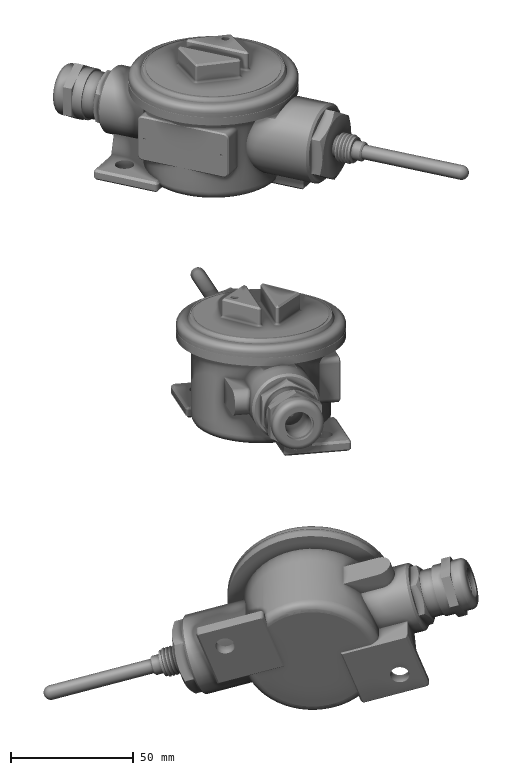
import cadquery as cq
import math


AXIS_Z = 23.5
COVER_SEAT_Z = 37.6
GLAND_FACE_X = -46.0
PLUG_FACE_X = 51.1

SHELL_R = 28.6
SHELL_TOP_CHAMFER = 0.5
SHELL_BOTTOM_Z = 0.5
SHELL_BOTTOM_FILLET = 3.7
GLAND_BOSS_D = 28.6
PROBE_BOSS_D = 33.5
BOSS_CHAMFER = 1.0
RELIEF_R = 35.5
RELIEF_Z = 35.8

FOOT_OUTER_X = 41.0
FOOT_INNER_X = 11.6
FOOT_DEPTH = 28.6
FOOT_THICKNESS = 4.6
FOOT_CORNER = 1.5
FOOT_CHAMFER = 1.0
FOOT_HOLE_D = 8.0
FOOT_HOLE_X = 31.4
FOOT_HOLE_Y = 18.6
RIB_TOP_WIDTH = 8.9
RIB_BASE_WIDTH = 11.8
RIB_START_Z = 1.8
RIB_TOP_Z = 14.8
RIB_FILLET = 0.7

PAD_WIDTH = 41.3
PAD_HEIGHT = 20.0
PAD_CORNER = 2.2
PAD_CHAMFER = 0.5
PAD_FACE_Y = -28.6
RIVET_HOLE_D = 1.07
RIVET_HOLE_DEPTH = 1.0
RIVET_HOLE_X = 17.5

LUG_D = 11.0
LUG_CENTRE_X = -34.9
LUG_LENGTH = 20.3

COVER_D = 69.5
COVER_TOP_Z = 45.7
COVER_FILLET = 2.5
COVER_GROOVE_Z = 41.7
COVER_GROOVE_WIDTH = 1.1
COVER_GROOVE_DEPTH = 0.2
DISC_BASE_R = 30.0
DISC_TOP_R = 29.1
DISC_TOP_Z = 47.5
DISC_GROOVE_OUTER_R = 28.8
DISC_GROOVE_INNER_R = 27.7
DISC_GROOVE_DEPTH = 0.4
GRIP_TOP_Z = 55.5
GRIP_HALF_WIDTH = 15.7
GRIP_INNER_Y = 3.0
GRIP_APEX_Y = 16.6
GRIP_CORNER = 1.0
GRIP_TOP_CHAMFER = 0.7
GRIP_FOOT_FILLET = 1.0
GRIP_HOLE_D = 3.3
GRIP_HOLE_Y = 11.0
GRIP_HOLE_DEPTH = 2.8

HEX_BEVEL_LENGTH = 1.3
HEX_FACE_INSET = 0.4

GLAND_TIP_X = -68.6
CAP_D = 21.5
CAP_FILLET = 2.4
GLAND_HEX_FLATS = 21.8
CAP_HEX_START_X = -63.0
CAP_HEX_END_X = -59.2
CAP_END_X = -55.0
GLAND_NECK_D = 20.0
BODY_HEX_START_X = -49.6
MOUTH_D = 12.4
MOUTH_DEPTH = 1.8
BORE_D = 11.0
BORE_DEPTH = 16.6
DOME_HEIGHT = 1.8
DOME_HOLE_D = 2.4
DOME_HOLE_DEPTH = 1.8

PLUG_FLATS = 27.0
PLUG_LENGTH = 5.2

PROBE_NECK_D = 9.6
RIDGE_START_X = 57.5
RIDGE_END_X = 63.6
RIDGE_COUNT = 4
RIDGE_D = 12.2
RIDGE_ROOT_D = 10.7
COLLAR_D = 11.0
COLLAR_END_X = 64.5
SLEEVE_D = 8.1
SLEEVE_END_X = 68.8
SLEEVE_CHAMFER = 0.5
PROBE_D = 6.0
PROBE_TIP_X = 115.8


def x_cylinder(start_x, end_x, diameter):
    """Cylinder on the gland and probe axis."""
    plane = cq.Workplane("YZ", origin=(start_x, 0, AXIS_Z))
    return plane.circle(diameter / 2).extrude(end_x - start_x)


def x_hexagon(start_x, end_x, across_flats):
    """Hexagonal prism on the same axis, with corners at the top and bottom."""
    corner_d = across_flats / math.cos(math.pi / 6)
    plane = cq.Workplane("YZ", origin=(start_x, 0, AXIS_Z))
    hexagon = plane.polygon(6, corner_d).extrude(end_x - start_x)
    return hexagon.rotate((0, 0, AXIS_Z), (1, 0, AXIS_Z), 30)


def bevelled_hexagon(start_x, end_x, across_flats, at_start):
    """Hexagonal prism whose corners are turned off to a cone at one end."""
    corner_r = across_flats / math.sqrt(3)
    face_r = across_flats / 2 - HEX_FACE_INSET
    start_r, end_r = (face_r, corner_r) if at_start else (corner_r, face_r)
    shoulder_x = start_x + HEX_BEVEL_LENGTH if at_start else end_x - HEX_BEVEL_LENGTH
    envelope = (
        cq.Workplane("XY")
        .polyline([(start_x, 0), (start_x, start_r), (shoulder_x, corner_r), (end_x, end_r), (end_x, 0)])
        .close()
        .revolve(360, (0, 0, 0), (1, 0, 0))
        .translate((0, 0, AXIS_Z))
    )
    return x_hexagon(start_x, end_x, across_flats).intersect(envelope)


def make_foot():
    """Mounting foot in the -X, -Y quarter, with the rib that rises to the boss."""
    length = FOOT_OUTER_X - FOOT_INNER_X
    plate = (
        cq.Workplane("XY")
        .box(length, FOOT_DEPTH, FOOT_THICKNESS, centered=False)
        .translate((-FOOT_OUTER_X, -FOOT_DEPTH, 0))
    )
    plate = plate.edges("|Z and <Y").fillet(FOOT_CORNER)
    plate = plate.faces(">Z").edges("not >Y").chamfer(FOOT_CHAMFER)
    plate = plate.faces("<Z").chamfer(FOOT_CHAMFER)
    rib = (
        cq.Workplane("YZ", origin=(-FOOT_OUTER_X, 0, 0))
        .polyline([(0, RIB_START_Z), (-RIB_BASE_WIDTH, RIB_START_Z), (-RIB_BASE_WIDTH, FOOT_THICKNESS),
                   (-RIB_TOP_WIDTH, RIB_TOP_Z), (0, RIB_TOP_Z)])
        .close()
        .extrude(length)
    )
    rib = rib.faces("<X").edges("not (|Y or |Z)").fillet(RIB_FILLET)
    hole = (
        cq.Workplane("XY")
        .center(-FOOT_HOLE_X, -FOOT_HOLE_Y)
        .circle(FOOT_HOLE_D / 2)
        .extrude(FOOT_THICKNESS)
    )
    return plate.union(rib).cut(hole)


def make_nameplate_pad():
    """Flat pad on the -Y side, reaching in to the housing axis."""
    pad = (
        cq.Workplane("XZ", origin=(0, 0, AXIS_Z))
        .rect(PAD_WIDTH, PAD_HEIGHT)
        .extrude(-PAD_FACE_Y)
    )
    pad = pad.edges("|Y").fillet(PAD_CORNER)
    return pad.faces("<Y").chamfer(PAD_CHAMFER)


def make_earth_lug():
    """Lug with a rounded outer end, on the +Y side of the gland boss."""
    start = cq.Workplane("XZ", origin=(LUG_CENTRE_X, 0, AXIS_Z))
    rounded_end = start.circle(LUG_D / 2).extrude(-LUG_LENGTH)
    web = start.center(-LUG_CENTRE_X / 2, 0).rect(-LUG_CENTRE_X, LUG_D).extrude(-LUG_LENGTH)
    return rounded_end.union(web)


def make_housing():
    shell_height = COVER_SEAT_Z - SHELL_BOTTOM_Z
    shell = cq.Workplane("XY").workplane(offset=SHELL_BOTTOM_Z).circle(SHELL_R).extrude(shell_height)
    shell = shell.faces(">Z").chamfer(SHELL_TOP_CHAMFER)
    shell = shell.faces("<Z").edges().fillet(SHELL_BOTTOM_FILLET)

    gland_boss = x_cylinder(GLAND_FACE_X, 0, GLAND_BOSS_D).faces("<X").chamfer(BOSS_CHAMFER)
    probe_boss = x_cylinder(0, PLUG_FACE_X, PROBE_BOSS_D).faces(">X").chamfer(BOSS_CHAMFER)
    bosses = gland_boss.union(probe_boss)

    relief_height = COVER_TOP_Z - RELIEF_Z
    relief = cq.Workplane("XY").workplane(offset=RELIEF_Z).circle(RELIEF_R).extrude(relief_height)

    foot = make_foot()
    housing = bosses.union(make_earth_lug()).cut(relief).union(shell)
    for angle in (0, 180):
        housing = housing.union(foot.rotate((0, 0, 0), (0, 0, 1), angle))
    housing = housing.union(make_nameplate_pad())

    rivet_holes = (
        cq.Workplane("XZ", origin=(0, PAD_FACE_Y, AXIS_Z))
        .pushPoints([(-RIVET_HOLE_X, 0), (RIVET_HOLE_X, 0)])
        .circle(RIVET_HOLE_D / 2)
        .extrude(-RIVET_HOLE_DEPTH)
    )
    return housing.cut(rivet_holes)


def make_grip():
    """Triangular grip on the +Y half of the cover, with a flared foot."""
    grip = (
        cq.Workplane("XY", origin=(0, 0, DISC_TOP_Z))
        .polyline([(-GRIP_HALF_WIDTH, GRIP_INNER_Y), (GRIP_HALF_WIDTH, GRIP_INNER_Y), (0, GRIP_APEX_Y)])
        .close()
        .extrude(GRIP_TOP_Z - DISC_TOP_Z)
    )
    grip = grip.edges("|Z").fillet(GRIP_CORNER)
    return grip.faces(">Z").chamfer(GRIP_TOP_CHAMFER)


def make_cover():
    rim_r = COVER_D / 2
    rim_height = COVER_TOP_Z - COVER_SEAT_Z
    rim = cq.Workplane("XY", origin=(0, 0, COVER_SEAT_Z)).circle(rim_r).extrude(rim_height)
    rim = rim.faces(">Z").edges().fillet(COVER_FILLET)
    groove = (
        cq.Workplane("XY", origin=(0, 0, COVER_GROOVE_Z - COVER_GROOVE_WIDTH / 2))
        .circle(rim_r)
        .circle(rim_r - COVER_GROOVE_DEPTH)
        .extrude(COVER_GROOVE_WIDTH)
    )
    disc = (
        cq.Workplane("XY", origin=(0, 0, COVER_TOP_Z))
        .circle(DISC_BASE_R)
        .workplane(offset=DISC_TOP_Z - COVER_TOP_Z)
        .circle(DISC_TOP_R)
        .loft()
    )
    disc_groove = (
        cq.Workplane("XY", origin=(0, 0, DISC_TOP_Z - DISC_GROOVE_DEPTH))
        .circle(DISC_GROOVE_OUTER_R)
        .circle(DISC_GROOVE_INNER_R)
        .extrude(DISC_GROOVE_DEPTH)
    )
    cover = rim.cut(groove).union(disc).cut(disc_groove)

    grip = make_grip()
    for angle in (0, 180):
        cover = cover.union(grip.rotate((0, 0, 0), (0, 0, 1), angle))
    grip_feet = cq.selectors.BoxSelector(
        (-GRIP_HALF_WIDTH, -GRIP_APEX_Y, DISC_TOP_Z - GRIP_FOOT_FILLET),
        (GRIP_HALF_WIDTH, GRIP_APEX_Y, DISC_TOP_Z + GRIP_FOOT_FILLET),
        boundingbox=True,
    )
    cover = cover.edges(grip_feet).fillet(GRIP_FOOT_FILLET)

    grip_hole = (
        cq.Workplane("XY", origin=(0, GRIP_HOLE_Y, GRIP_TOP_Z - GRIP_HOLE_DEPTH))
        .circle(GRIP_HOLE_D / 2)
        .extrude(GRIP_HOLE_DEPTH)
    )
    return cover.cut(grip_hole)


def make_gland_bore():
    """Stepped entry bore; its floor is a dome that bulges toward the mouth."""
    floor_x = GLAND_TIP_X + BORE_DEPTH
    mouth = x_cylinder(GLAND_TIP_X, GLAND_TIP_X + MOUTH_DEPTH, MOUTH_D)
    bore = x_cylinder(GLAND_TIP_X, floor_x, BORE_D)
    dome_r = ((BORE_D / 2) ** 2 + DOME_HEIGHT ** 2) / (2 * DOME_HEIGHT)
    dome_x = floor_x - DOME_HEIGHT
    dome = cq.Workplane("XY").sphere(dome_r).translate((dome_x + dome_r, 0, AXIS_Z))
    dome_hole = x_cylinder(dome_x, dome_x + DOME_HOLE_DEPTH, DOME_HOLE_D)
    return mouth.union(bore.cut(dome)).union(dome_hole)


def make_gland():
    cap = x_cylinder(GLAND_TIP_X, CAP_END_X, CAP_D).faces("<X").edges().fillet(CAP_FILLET)
    cap_hex = x_hexagon(CAP_HEX_START_X, CAP_HEX_END_X, GLAND_HEX_FLATS)
    neck = x_cylinder(CAP_END_X, BODY_HEX_START_X, GLAND_NECK_D)
    body_hex = bevelled_hexagon(BODY_HEX_START_X, GLAND_FACE_X, GLAND_HEX_FLATS, at_start=True)
    return cap.union(cap_hex).union(neck).union(body_hex).cut(make_gland_bore())


def make_plug():
    end_x = PLUG_FACE_X + PLUG_LENGTH
    return bevelled_hexagon(PLUG_FACE_X, end_x, PLUG_FLATS, at_start=False)


def make_probe():
    """Probe turned about its axis: neck, ridged nut, sleeve and slim rod."""
    pitch = (RIDGE_END_X - RIDGE_START_X) / RIDGE_COUNT
    start_x = PLUG_FACE_X + PLUG_LENGTH
    probe_r = PROBE_D / 2
    profile = [(start_x, 0), (start_x, PROBE_NECK_D / 2), (RIDGE_START_X, PROBE_NECK_D / 2)]
    for index in range(RIDGE_COUNT):
        ridge_x = RIDGE_START_X + index * pitch
        profile += [
            (ridge_x, RIDGE_ROOT_D / 2),
            (ridge_x + pitch / 3, RIDGE_D / 2),
            (ridge_x + pitch * 2 / 3, RIDGE_D / 2),
        ]
    profile += [
        (RIDGE_END_X, RIDGE_ROOT_D / 2),
        (RIDGE_END_X, COLLAR_D / 2),
        (COLLAR_END_X, COLLAR_D / 2),
        (COLLAR_END_X, SLEEVE_D / 2),
        (SLEEVE_END_X - SLEEVE_CHAMFER, SLEEVE_D / 2),
        (SLEEVE_END_X, SLEEVE_D / 2 - SLEEVE_CHAMFER),
        (SLEEVE_END_X, probe_r),
        (PROBE_TIP_X - probe_r, probe_r),
    ]
    probe = (
        cq.Workplane("XY")
        .polyline(profile)
        .radiusArc((PROBE_TIP_X, 0), probe_r)
        .close()
        .revolve(360, (0, 0, 0), (1, 0, 0))
    )
    return probe.translate((0, 0, AXIS_Z))


housing = make_housing()
cover = make_cover()
gland = make_gland()
plug = make_plug()
probe = make_probe()

result = cq.Compound.makeCompound(
    [body.solids().val() for body in (housing, cover, gland, plug, probe)]
)